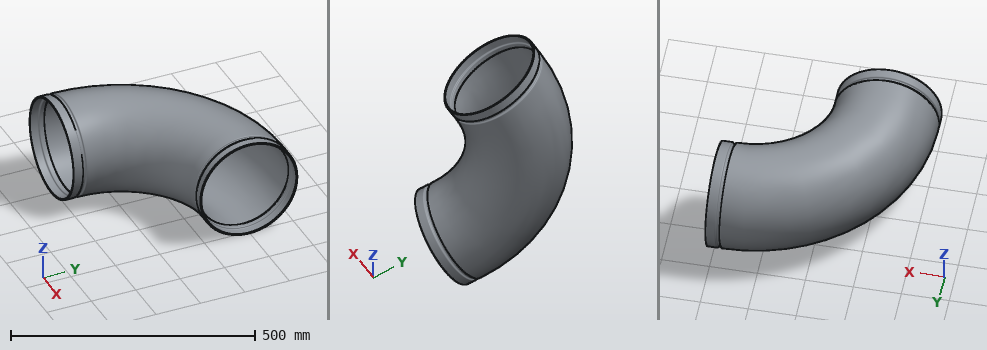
import cadquery as cq

overall_length = 414.5
pipe_diameter = 219.0
bore_diameter = 213.0
groove_diameter = 211.5
bend_start = 33.5
groove_start = 19.0
groove_end = 31.0
gentle_flank_length = 5.5
bead_start = 16.5
bead_end = 33.0

pipe_radius = pipe_diameter / 2
bore_radius = bore_diameter / 2
wall = pipe_radius - bore_radius
groove_radius = groove_diameter / 2
groove_depth = pipe_radius - groove_radius
bead_radius = bore_radius - groove_depth
bend_radius = overall_length - pipe_radius - bend_start
end_to_center = bend_radius + bend_start

steep_flank_length = groove_depth


def add_flank(profile, radial_step, axial_step):
    """Continue an axial line with an S-shaped step of two equal arcs that ends axial again."""
    half_step = (radial_step / 2, axial_step / 2)
    return profile.tangentArcPoint(half_step).tangentArcPoint(half_step)


def make_grooved_end():
    """Straight pipe end along +Y with its open face at Y = 0, grooved outside and beaded inside."""
    profile = cq.Workplane("XY").moveTo(pipe_radius, 0)

    profile = profile.lineTo(pipe_radius, groove_start)
    profile = add_flank(profile, -groove_depth, gentle_flank_length)
    profile = profile.lineTo(groove_radius, groove_end - steep_flank_length)
    profile = add_flank(profile, groove_depth, steep_flank_length)
    profile = profile.lineTo(pipe_radius, bend_start)

    profile = profile.lineTo(bore_radius, bend_start)
    profile = profile.lineTo(bore_radius, bead_end)
    profile = add_flank(profile, -groove_depth, -steep_flank_length)
    profile = profile.lineTo(bead_radius, bead_start + steep_flank_length)
    profile = add_flank(profile, groove_depth, -steep_flank_length)
    profile = profile.lineTo(bore_radius, 0).close()

    return profile.revolve(360, (0, 0, 0), (0, 1, 0))


def make_bend():
    """Quarter-turn pipe bend that turns from +Y to +X."""
    return (
        cq.Workplane("XZ", origin=(0, bend_start, 0))
        .circle(pipe_radius)
        .circle(bore_radius)
        .revolve(90, (bend_radius, 4, 0), (bend_radius, 0, 0))
    )


front_end = make_grooved_end()
side_end = (
    make_grooved_end()
    .rotate((0, 0, 0), (0, 0, 1), 90)
    .translate((end_to_center, end_to_center, 0))
)

result = make_bend().union(front_end).union(side_end)